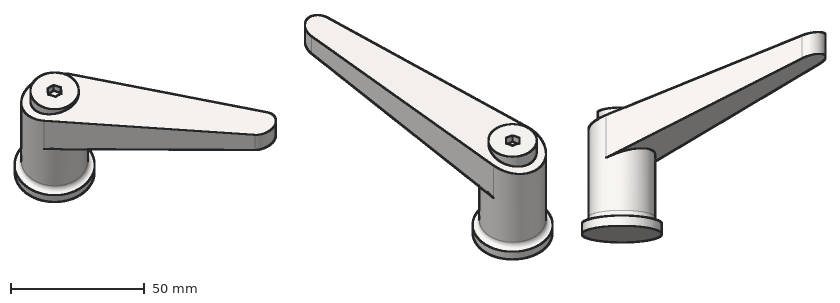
import cadquery as cq
import math

hub_radius = 12.5
flange_radius = 15.0
flange_height = 4.0
neck_fillet = flange_radius - hub_radius

total_length = 104.0
total_height = 66.8
tip_radius = 6.0
tip_end = total_length - flange_radius
tip_center = tip_end - tip_radius
top_slope = math.tan(math.radians(15))
underside_root = 26.8
underside_tip = 58.5

head_radius = 9.0
head_top = 46.5
socket_flats = 5.0
socket_corners = socket_flats / math.cos(math.radians(30))
socket_depth = 3.1
socket_cone_slope = math.tan(math.radians(30))

side_sin = (hub_radius - tip_radius) / tip_center
side_cos = math.sqrt(1 - side_sin**2)
root_x = hub_radius * side_sin
root_y = hub_radius * side_cos
tip_x = tip_center + tip_radius * side_sin
tip_y = tip_radius * side_cos


def top_height(x):
    """Height of the sloping top face at x."""
    return total_height - (tip_end - x) * top_slope


def make_base():
    """Flange blending into the hub through a concave fillet."""
    fillet_top = flange_height + neck_fillet
    fillet_offset = neck_fillet * (1 - math.sqrt(0.5))
    return (
        cq.Workplane("XZ")
        .lineTo(flange_radius, 0)
        .lineTo(flange_radius, flange_height)
        .threePointArc(
            (hub_radius + fillet_offset, flange_height + fillet_offset),
            (hub_radius, fillet_top),
        )
        .lineTo(hub_radius, total_height)
        .lineTo(0, total_height)
        .close()
        .revolve(360, (0, 0), (0, 1))
    )


def make_arm():
    """Tapered arm with a round tip and a sloping underside."""
    plan = (
        cq.Workplane("XY")
        .moveTo(root_x, -root_y)
        .lineTo(tip_x, -tip_y)
        .threePointArc((tip_end, 0), (tip_x, tip_y))
        .lineTo(root_x, root_y)
        .close()
        .extrude(total_height)
    )
    side = (
        cq.Workplane("XZ")
        .moveTo(root_x, underside_root)
        .lineTo(tip_end, underside_tip)
        .lineTo(tip_end, total_height)
        .lineTo(root_x, total_height)
        .close()
        .extrude(hub_radius, both=True)
    )
    return plan.intersect(side)


def cut_sloping_top(body):
    """Remove everything above the inclined top face."""
    waste = (
        cq.Workplane("XZ")
        .moveTo(-flange_radius, top_height(-flange_radius))
        .lineTo(tip_end, total_height)
        .lineTo(-flange_radius, total_height)
        .close()
        .extrude(flange_radius, both=True)
    )
    return body.cut(waste)


def make_screw_head():
    """Round head that rises out of the sloping top face."""
    head_bottom = top_height(-hub_radius)
    return (
        cq.Workplane("XY", origin=(0, 0, head_bottom))
        .circle(head_radius)
        .extrude(head_top - head_bottom)
    )


def make_socket():
    """Hexagon socket with two corners on the X axis and a conical bottom."""
    corner_radius = socket_corners / 2
    socket_floor = head_top - socket_depth
    cone_tip = socket_floor - corner_radius * socket_cone_slope
    hexagon = (
        cq.Workplane("XY", origin=(0, 0, cone_tip))
        .polygon(6, socket_corners)
        .extrude(head_top - cone_tip)
    )
    drilled_hole = (
        cq.Workplane("XZ")
        .moveTo(0, cone_tip)
        .lineTo(corner_radius, socket_floor)
        .lineTo(corner_radius, head_top)
        .lineTo(0, head_top)
        .close()
        .revolve(360, (0, 0), (0, 1))
    )
    return hexagon.intersect(drilled_hole)


lever = cut_sloping_top(make_base().union(make_arm()))
result = lever.union(make_screw_head()).cut(make_socket())